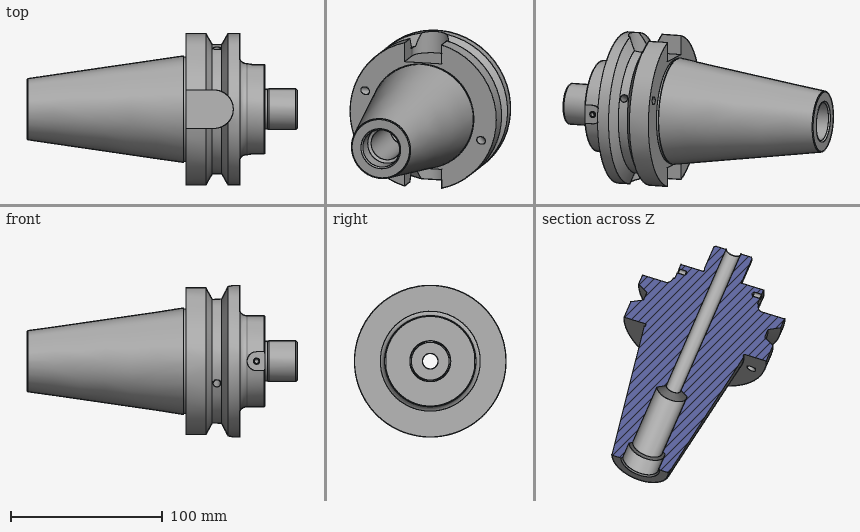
import cadquery as cq
import math

total_length = 177.8

gauge_radius = 70.2 / 2
taper_length = 102.8
taper_slope = 7 / 48
edge_chamfer = 0.5
small_end_radius = gauge_radius - taper_slope * taper_length
neck_radius = 34.5

flange_radius = 100.0 / 2
flange_start = 104.4
flange_end = 140.0
groove_radius = 42.7
groove_bottom_start = 121.8
groove_bottom_end = 128.0
groove_wall_angle = 30.0
groove_wall_run = (flange_radius - groove_radius) * math.tan(math.radians(groove_wall_angle))

boss_radius = 60.1 / 2
boss_end = 156.5
hollow_end = 144.5
hollow_height = 2.8
hollow_width = hollow_end - flange_end
hollow_radius = (hollow_width**2 + hollow_height**2) / (2 * hollow_height)

spigot_radius = 27.0 / 2
relief_radius = 26.3 / 2
relief_end = 158.0
spigot_start = 159.1
spigot_chamfer = 1.0

mouth_radius = 27.0 / 2
counterbore_radius = 25.0 / 2
counterbore_depth = 13.0
thread_radius = 21.0 / 2
thread_lead_in = 1.0
thread_end = 60.5
drill_point_angle = 120.0
through_radius = 10.1 / 2

keyway_width = 25.2
keyway_end = 135.7
keyway_floor = 35.5

coolant_diameter = 5.0
coolant_angle = 200.0
coolant_face_radius = 42.1
coolant_tilt = 35.0
coolant_exit_x = (groove_bottom_start + groove_bottom_end) / 2

flat_width = 12.5
flat_center_x = 151.0
flat_distance = 29.2
screw_diameter = 3.0
screw_mouth_diameter = 4.1
screw_depth = 5.3


def turned_body():
    """Solid of revolution: taper, flange, boss and spigot."""
    middle = math.atan2(hollow_width, hollow_radius - hollow_height) / 2
    hollow_middle = (
        hollow_end - hollow_radius * math.sin(middle),
        boss_radius + hollow_radius * (1 - math.cos(middle)),
    )
    return (
        cq.Workplane("XY")
        .lineTo(0, small_end_radius - edge_chamfer)
        .lineTo(edge_chamfer, small_end_radius + taper_slope * edge_chamfer)
        .lineTo(taper_length, gauge_radius)
        .lineTo(taper_length, neck_radius)
        .lineTo(flange_start, neck_radius)
        .lineTo(flange_start, flange_radius)
        .lineTo(groove_bottom_start - groove_wall_run, flange_radius)
        .lineTo(groove_bottom_start, groove_radius)
        .lineTo(groove_bottom_end, groove_radius)
        .lineTo(groove_bottom_end + groove_wall_run, flange_radius)
        .lineTo(flange_end, flange_radius)
        .lineTo(flange_end, boss_radius + hollow_height)
        .threePointArc(hollow_middle, (hollow_end, boss_radius))
        .lineTo(boss_end - edge_chamfer, boss_radius)
        .lineTo(boss_end, boss_radius - edge_chamfer)
        .lineTo(boss_end, relief_radius)
        .lineTo(relief_end, relief_radius)
        .lineTo(spigot_start, spigot_radius)
        .lineTo(total_length - spigot_chamfer, spigot_radius)
        .lineTo(total_length, spigot_radius - spigot_chamfer)
        .lineTo(total_length, 0)
        .close()
        .revolve(360, (0, 0, 0), (1, 0, 0))
    )


def stepped_bore():
    """Counterbored thread bore with a drill point and a through hole."""
    drill_point = (thread_radius - through_radius) / math.tan(math.radians(drill_point_angle / 2))
    return (
        cq.Workplane("XY")
        .lineTo(0, mouth_radius)
        .lineTo(mouth_radius - counterbore_radius, counterbore_radius)
        .lineTo(counterbore_depth, counterbore_radius)
        .lineTo(counterbore_depth + thread_lead_in, thread_radius)
        .lineTo(thread_end, thread_radius)
        .lineTo(thread_end + drill_point, through_radius)
        .lineTo(total_length, through_radius)
        .lineTo(total_length, 0)
        .close()
        .revolve(360, (0, 0, 0), (1, 0, 0))
    )


def keyway():
    """Round-ended keyway on the +Z side, open at the rear flange face."""
    arc_center = keyway_end - keyway_width / 2
    height = flange_radius - keyway_floor
    plane = cq.Workplane("XY", origin=(0, 0, keyway_floor))
    straight = plane.center((flange_start + arc_center) / 2, 0)
    straight = straight.rect(arc_center - flange_start, keyway_width).extrude(height)
    return straight.union(plane.center(arc_center, 0).circle(keyway_width / 2).extrude(height))


def coolant_channel():
    """Tilted hole from the flange face meeting a radial hole from the groove."""
    tilt = math.radians(coolant_tilt)
    radius = coolant_diameter / 2
    run = coolant_exit_x - flange_start
    meeting_radius = coolant_face_radius - run * math.tan(tilt)
    direction = cq.Vector(math.cos(tilt), -math.sin(tilt), 0)
    meeting = cq.Vector(coolant_exit_x, meeting_radius, 0)
    approach = coolant_diameter
    start = cq.Vector(flange_start, coolant_face_radius, 0) - direction * approach
    tilted = cq.Solid.makeCylinder(radius, run / math.cos(tilt) + approach, start, direction)
    radial = cq.Solid.makeCylinder(radius, flange_radius - meeting_radius, meeting, cq.Vector(0, 1, 0))
    return cq.Workplane(tilted).union(cq.Workplane(radial)).rotate((0, 0, 0), (1, 0, 0), coolant_angle)


def boss_flat():
    """Round-ended flat on the -Y side with its countersunk blind hole."""
    flat_depth = boss_radius - flat_distance
    plane = cq.Workplane("XZ", origin=(0, -flat_distance, 0))
    straight_length = boss_end - flat_center_x
    pocket = plane.center(flat_center_x, 0).circle(flat_width / 2).extrude(flat_depth)
    straight = plane.center(flat_center_x + straight_length / 2, 0)
    pocket = pocket.union(straight.rect(straight_length, flat_width).extrude(flat_depth))

    screw_radius = screw_diameter / 2
    mouth = screw_mouth_diameter / 2
    tip_height = screw_radius / math.tan(math.radians(drill_point_angle / 2))
    screw_hole = (
        cq.Workplane("XY")
        .moveTo(flat_center_x, -flat_distance)
        .lineTo(flat_center_x + mouth, -flat_distance)
        .lineTo(flat_center_x + screw_radius, -flat_distance + mouth - screw_radius)
        .lineTo(flat_center_x + screw_radius, -flat_distance + screw_depth)
        .lineTo(flat_center_x, -flat_distance + screw_depth + tip_height)
        .close()
        .revolve(360, (flat_center_x, 0, 0), (flat_center_x, 1, 0))
    )
    return pocket.union(screw_hole)


result = turned_body().cut(stepped_bore())

for cutter in (keyway(), coolant_channel(), boss_flat()):
    for turn in (0, 180):
        result = result.cut(cutter.rotate((0, 0, 0), (1, 0, 0), turn))